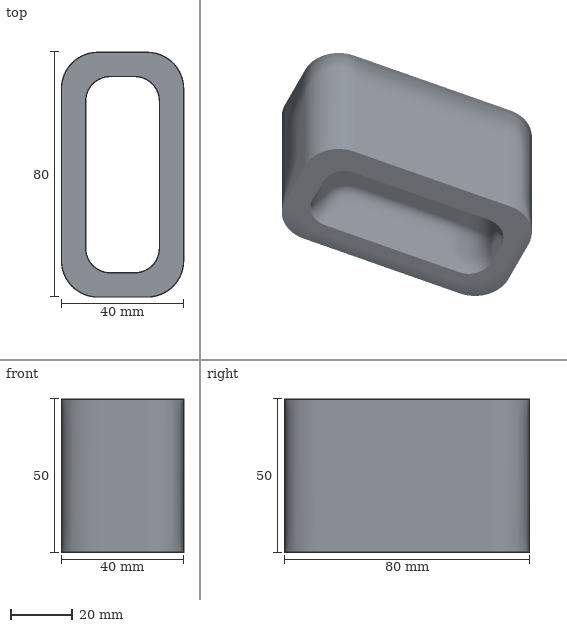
import cadquery as cq

width = 40.0
length = 80.0
height = 50.0

wall = 8.0
outer_corner_radius = 12.0
inner_corner_radius = 8.0


def rounded_block(size_x, size_y, corner_radius):
    """Full-height block with rounded vertical edges, standing on the XY plane."""
    block = cq.Workplane("XY").box(size_x, size_y, height, centered=(True, True, False))
    return block.edges("|Z").fillet(corner_radius)


body = rounded_block(width, length, outer_corner_radius)
opening = rounded_block(width - 2 * wall, length - 2 * wall, inner_corner_radius)

result = body.cut(opening)